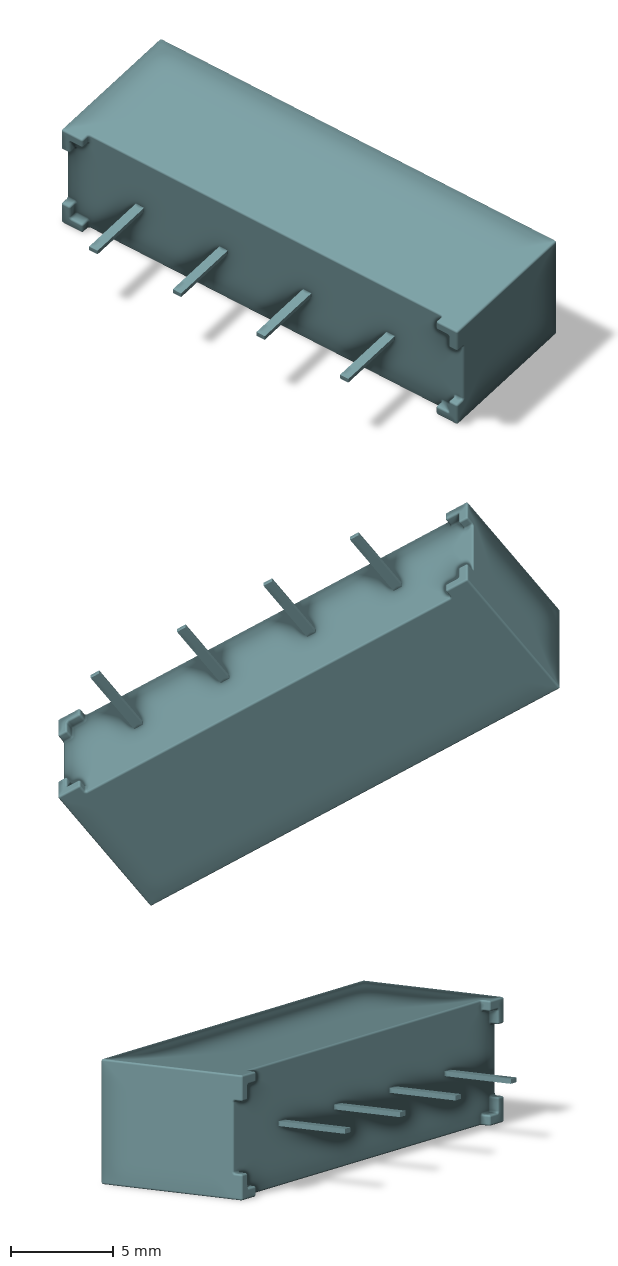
import cadquery as cq

length = 24.1
height = 6.22
total_depth = 11.42

body_depth = 8.12
foot_height = 0.5
foot_leg = 1.3
foot_thickness = 0.53
edge_radius = 0.1

pin_count = 4
pin_pitch = 5.09
pin_width = 0.5
pin_thickness = 0.25
pin_embedding = 0.25

foot_tip_y = 0.0
floor_y = foot_tip_y + foot_height
back_y = foot_tip_y + body_depth
pin_tip_y = back_y - total_depth


def box(x_size, y_start, y_end, z_size):
    """Box centred on X and Z that spans the given Y range."""
    return cq.Workplane("XY").box(x_size, y_end - y_start, z_size).translate((0, (y_start + y_end) / 2, 0))


def foot_clearance():
    """Space between the feet; cutting it away leaves one L-shaped foot at each corner."""
    between_legs_x = length - 2 * foot_leg
    between_legs_z = height - 2 * foot_leg
    inside = box(length - 2 * foot_thickness, foot_tip_y, floor_y, height - 2 * foot_thickness)
    gap_along_z = box(between_legs_x, foot_tip_y, floor_y, height)
    gap_along_x = box(length, foot_tip_y, floor_y, between_legs_z)
    return inside.union(gap_along_z).union(gap_along_x)


def build_body():
    """Footed block with every edge, inner and outer, rounded by the same radius."""
    block = box(length, foot_tip_y, back_y, height)
    return block.cut(foot_clearance()).edges().fillet(edge_radius)


def build_pin(index):
    """One pin of the centred row, rooted a little way into the body."""
    x = (index - (pin_count - 1) / 2) * pin_pitch
    return box(pin_width, pin_tip_y, floor_y + pin_embedding, pin_thickness).translate((x, 0, 0))


result = build_body()
for pin_index in range(pin_count):
    result = result.union(build_pin(pin_index))